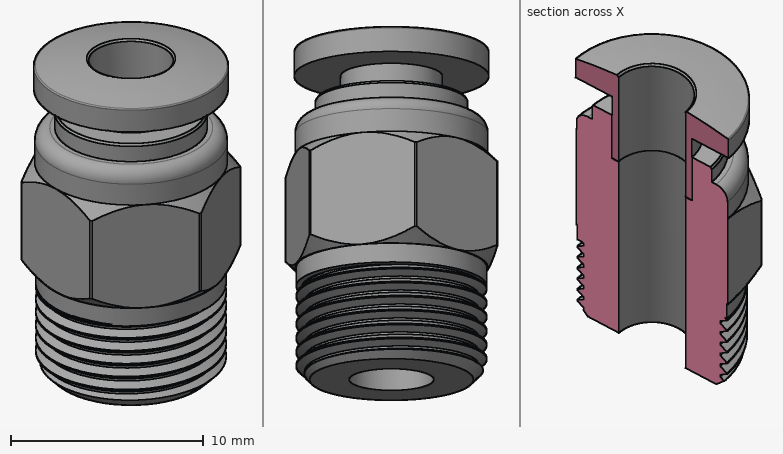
import cadquery as cq
import math


thread_top = 5.0
hex_bottom = 6.0
hex_top = 12.0
shoulder_top = 14.0
collar_top = 15.0
flange_bottom = 16.26
rim_top = 17.61
sleeve_top = 17.99

hex_flat_radius = 5.0
hex_corner_radius = 5.74
shoulder_radius = hex_flat_radius
shoulder_fillet = 0.77
collar_radius = 3.95
collar_chamfer = 0.09
collar_chamfer_height = 0.13
band_radius = 4.95

thread_radius = band_radius
thread_turns = 6
thread_turns_length = 4.5
thread_pitch = thread_turns_length / thread_turns
thread_depth = 0.43
root_flat = 0.13
crest_flat = 0.07
lead_chamfer = 0.7
groove_phase = 0.2
run_in_turns = 2
groove_start = groove_phase - run_in_turns * thread_pitch
groove_overcut = 0.07

flange_radius = 5.05
rim_fillet = 0.07
neck_radius = 2.65
bore_radius = 2.2
bore_chamfer = 0.1
sleeve_bottom = hex_top


def cylinder(radius, bottom, top):
    return cq.Workplane("XY").workplane(offset=bottom).circle(radius).extrude(top - bottom)


def make_thread():
    """Right-hand threaded spigot with a tapered lead-in."""
    spigot = cylinder(thread_radius, 0, thread_top)
    root_radius = thread_radius - thread_depth
    cut_radius = thread_radius + groove_overcut
    root_half = root_flat / 2
    mouth_half = (thread_pitch - crest_flat) / 2
    flank_slope = (mouth_half - root_half) / thread_depth
    cut_half = mouth_half + flank_slope * groove_overcut

    helix_height = thread_top + thread_pitch - groove_start
    helix = cq.Wire.makeHelix(thread_pitch, helix_height, root_radius)
    groove = (
        cq.Workplane("XZ")
        .polyline([
            (root_radius, -root_half),
            (cut_radius, -cut_half),
            (cut_radius, cut_half),
            (root_radius, root_half),
        ])
        .close()
        .sweep(cq.Workplane(obj=helix), isFrenet=True)
        .translate((0, 0, groove_start))
    )
    lead_in = spigot.faces("<Z").chamfer(lead_chamfer)
    return spigot.cut(groove).intersect(lead_in)


def make_hexagon():
    """Hexagon with blunted corners and 45 degree chamfers at both ends."""
    prism = (
        cq.Workplane("XY")
        .workplane(offset=hex_bottom)
        .polygon(6, 2 * hex_flat_radius / math.cos(math.pi / 6))
        .extrude(hex_top - hex_bottom)
    )
    envelope = cylinder(hex_corner_radius, hex_bottom, hex_top)
    envelope = envelope.faces("<Z or >Z").chamfer(hex_corner_radius - hex_flat_radius)
    return prism.intersect(envelope)


def make_body():
    shoulder = cylinder(shoulder_radius, hex_top, shoulder_top).faces(">Z").edges().fillet(shoulder_fillet)
    collar = cylinder(collar_radius, shoulder_top, collar_top)
    collar = collar.faces(">Z").chamfer(collar_chamfer_height, collar_chamfer)
    band = cylinder(band_radius, thread_top, hex_bottom)
    passage = cylinder(bore_radius, 0, sleeve_bottom)
    sleeve_seat = cylinder(neck_radius, sleeve_bottom, collar_top)
    body = make_hexagon().union(shoulder).union(collar).union(band).union(make_thread())
    return body.cut(passage).cut(sleeve_seat)


def make_sleeve():
    """Revolved release sleeve with a gently domed flange."""
    crown_radius = bore_radius + bore_chamfer
    dome_edge = flange_radius - rim_fillet
    mid_radius = (crown_radius + dome_edge) / 2
    mid_fall = (mid_radius**2 - crown_radius**2) / (dome_edge**2 - crown_radius**2)
    mid_height = sleeve_top - (sleeve_top - rim_top) * mid_fall
    profile = (
        cq.Workplane("XZ")
        .moveTo(bore_radius, sleeve_bottom)
        .lineTo(neck_radius, sleeve_bottom)
        .lineTo(neck_radius, flange_bottom)
        .lineTo(flange_radius, flange_bottom)
        .lineTo(flange_radius, rim_top - rim_fillet)
        .radiusArc((dome_edge, rim_top), -rim_fillet)
        .threePointArc((mid_radius, mid_height), (crown_radius, sleeve_top))
        .lineTo(bore_radius, sleeve_top - bore_chamfer)
        .close()
    )
    return profile.revolve(360, (0, 0, 0), (0, 1, 0))


body = make_body()
sleeve = make_sleeve()

result = cq.Compound.makeCompound([body.solids().val(), sleeve.val()])